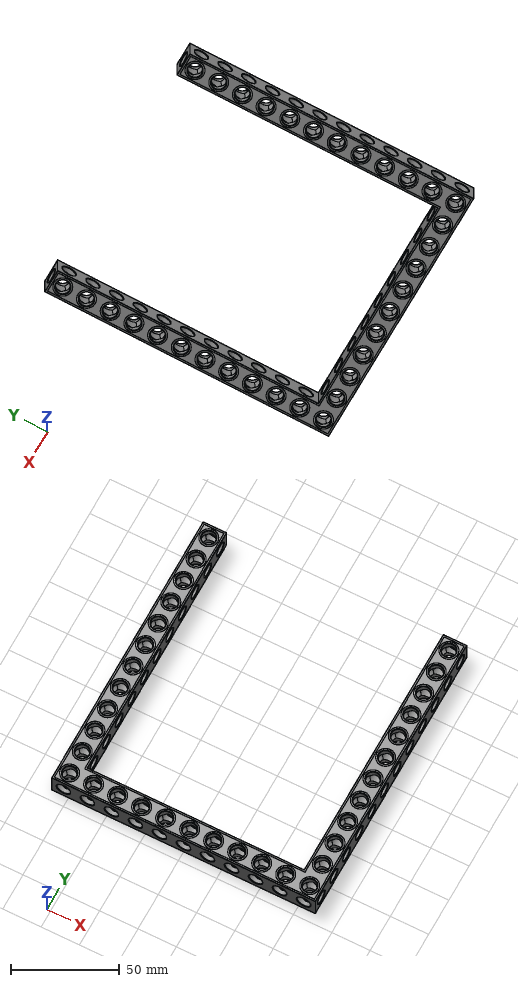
import cadquery as cq

size_x = 137.5
size_y = 150.0
height = 12.5
beam_width = 12.25
holes_along_x = 11
holes_along_y = 12
hole_diameter = 7.0
hole_chamfer = 0.3
edge_chamfer = 0.15
recess_depth = 0.2
rim_width = 0.95
collar_diameter = 9.2

hole_inset = beam_width / 2
pitch_x = (size_x - 2 * hole_inset) / (holes_along_x - 1)
pitch_y = (size_y - 2 * hole_inset) / (holes_along_y - 1)
column_x = [-size_x / 2 + hole_inset + i * pitch_x for i in range(holes_along_x)]
row_y = [hole_inset + j * pitch_y for j in range(holes_along_y)]
base_centers = [(x, row_y[0]) for x in column_x]
arm_centers = [(x, y) for x in (column_x[0], column_x[-1]) for y in row_y[1:]]
vertical_hole_centers = base_centers + arm_centers

along_x = cq.Vector(1, 0, 0)
along_y = cq.Vector(0, 1, 0)
along_z = cq.Vector(0, 0, 1)


def u_prism(inset, thickness, bottom_z):
    """U outline, open toward +Y, moved inward by inset and extruded upward from bottom_z."""
    outer_x = size_x / 2 - inset
    inner_x = size_x / 2 - beam_width + inset
    base_y = inset
    inner_y = beam_width - inset
    tip_y = size_y - inset
    outline = [
        (-outer_x, base_y),
        (outer_x, base_y),
        (outer_x, tip_y),
        (inner_x, tip_y),
        (inner_x, inner_y),
        (-inner_x, inner_y),
        (-inner_x, tip_y),
        (-outer_x, tip_y),
    ]
    return (
        cq.Workplane("XY", origin=(0, 0, bottom_z))
        .polyline(outline)
        .close()
        .extrude(thickness)
    )


def frame_body():
    """U frame with chamfered upper and lower edges."""
    return u_prism(0, height, -height / 2).faces("<Z or >Z").chamfer(edge_chamfer)


def face_recess(bottom_z):
    """Recess inside the rim of one face, leaving a collar around each vertical hole."""
    collars = (
        cq.Workplane("XY", origin=(0, 0, bottom_z))
        .pushPoints(vertical_hole_centers)
        .circle(collar_diameter / 2)
        .extrude(recess_depth)
    )
    return u_prism(rim_width, recess_depth, bottom_z).cut(collars)


def hole_cutter(start, direction, length):
    """Bore from the point start along direction, flared by a chamfer at both ends."""
    start = cq.Vector(*start)
    end = start + direction * length
    bore_radius = hole_diameter / 2
    mouth_radius = bore_radius + hole_chamfer
    bore = cq.Solid.makeCylinder(bore_radius, length, start, direction)
    first_mouth = cq.Solid.makeCone(mouth_radius, bore_radius, hole_chamfer, start, direction)
    last_mouth = cq.Solid.makeCone(mouth_radius, bore_radius, hole_chamfer, end, -direction)
    return bore.fuse(first_mouth, last_mouth)


def vertical_holes():
    """Holes through the height of the base beam and of both arms."""
    return [hole_cutter((x, y, -height / 2), along_z, height) for x, y in vertical_hole_centers]


def cross_holes_along_x():
    """One bore lengthwise through the base beam, then holes across each arm."""
    left_arm = -size_x / 2
    right_arm = size_x / 2 - beam_width
    lengthwise = [hole_cutter((left_arm, row_y[0], 0), along_x, size_x)]
    across = [
        hole_cutter((arm, y, 0), along_x, beam_width)
        for arm in (left_arm, right_arm)
        for y in row_y[1:]
    ]
    return lengthwise + across


def cross_holes_along_y():
    """One bore lengthwise through each arm, and holes across the base beam between them."""
    lengthwise = [hole_cutter((x, 0, 0), along_y, size_y) for x in (column_x[0], column_x[-1])]
    across = [hole_cutter((x, 0, 0), along_y, beam_width) for x in column_x[1:-1]]
    return lengthwise + across


def cut_all(body, cutters):
    return cq.Workplane(body.val().cut(*cutters))


result = frame_body()
for recess_bottom in (-height / 2, height / 2 - recess_depth):
    result = result.cut(face_recess(recess_bottom))
for hole_group in (vertical_holes(), cross_holes_along_x(), cross_holes_along_y()):
    result = cut_all(result, hole_group)
result = cq.Workplane(result.solids().val())